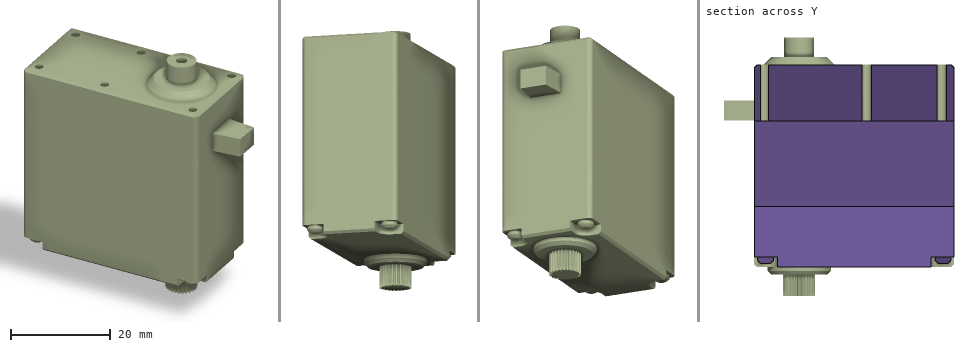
import cadquery as cq
import math

TOTAL_HEIGHT = 51.8

LENGTH = 40.0
WIDTH = 20.0
BOTTOM_HEIGHT = 12.2
MIDDLE_HEIGHT = 17.15
TOP_HEIGHT = 11.15
MIDDLE_Z = BOTTOM_HEIGHT
TOP_Z = MIDDLE_Z + MIDDLE_HEIGHT
STACK_HEIGHT = TOP_Z + TOP_HEIGHT
CORNER_RADIUS = 1.0
EDGE_CHAMFER = 0.5

AXIS_INSET = 9.0
AXIS_X = LENGTH / 2 - AXIS_INSET

CONE_BASE_DIAMETER = 14.2
CONE_HEIGHT = 1.5
CONE_TOP_DIAMETER = CONE_BASE_DIAMETER - 2 * CONE_HEIGHT
HUB_DIAMETER = 6.0
HUB_HEIGHT = 4.0
HUB_HOLE_DIAMETER = 2.3

MOUNT_HOLE_DIAMETER = 1.8
MOUNT_INSET = 2.5
MOUNT_SPACING_X = 15.0
END_MOUNT_INSET = 2.0

CABLE_LENGTH = 6.0
CABLE_HEIGHT = 4.0
CABLE_ROOT_WIDTH = 6.85
CABLE_TIP_WIDTH = 5.6

RECESS_INSET = 2.25
RECESS_RADIUS = 2.4
RECESS_DEPTH = 2.0

BOSS_DIAMETER = 12.7
BOSS_HEIGHT = 1.5
BOSS_CHAMFER = 0.7

TOOTH_COUNT = 25
SPLINE_DIAMETER = 6.4
TOOTH_DEPTH = 0.45
TIP_SHARE = 0.18
ROOT_SHARE = 0.31
SPLINE_LENGTH = TOTAL_HEIGHT - STACK_HEIGHT - CONE_HEIGHT - HUB_HEIGHT - BOSS_HEIGHT

SEAT_DIAMETER = 3.0
RIM_DIAMETER = 3.3
CROWN_BASE_DIAMETER = 3.2
CROWN_SHOULDER_DIAMETER = 2.5
HEAD_FACE_DIAMETER = 1.8
RIM_TOP_DEPTH = 0.3
RIM_BOTTOM_DEPTH = 0.6
CROWN_BASE_DEPTH = 0.8
CROWN_SHOULDER_DEPTH = 1.15
HEAD_HEIGHT = 1.35

CORNERS = [(side_x, side_y) for side_x in (-1, 1) for side_y in (-1, 1)]


def case_block(base_z, height, chamfered_face=None):
    """Slice of the stack: rounded vertical edges trim the mitred chamfer of one end face."""
    plain = cq.Workplane("XY").box(LENGTH, WIDTH, height, centered=(True, True, False))
    block = plain.edges("|Z").fillet(CORNER_RADIUS)
    if chamfered_face:
        block = block.intersect(plain.faces(chamfered_face).chamfer(EDGE_CHAMFER))
    return block.translate((0, 0, base_z))


def corner_recess(side_x, side_y):
    """Cutter for one lower corner: open to both outer walls, round around the screw."""
    screw_x = LENGTH / 2 - RECESS_INSET
    screw_y = WIDTH / 2 - RECESS_INSET
    outer_x = LENGTH / 2 + RECESS_INSET
    outer_y = WIDTH / 2 + RECESS_INSET
    inner_x = screw_x - RECESS_RADIUS
    inner_y = screw_y - RECESS_RADIUS
    diagonal = RECESS_RADIUS * math.sqrt(0.5)
    return (
        cq.Workplane("XY")
        .moveTo(side_x * outer_x, side_y * outer_y)
        .lineTo(side_x * inner_x, side_y * outer_y)
        .lineTo(side_x * inner_x, side_y * screw_y)
        .threePointArc(
            (side_x * (screw_x - diagonal), side_y * (screw_y - diagonal)),
            (side_x * screw_x, side_y * inner_y),
        )
        .lineTo(side_x * outer_x, side_y * inner_y)
        .close()
        .extrude(RECESS_DEPTH)
    )


def make_bottom_case():
    case = case_block(0, BOTTOM_HEIGHT, "<Z")
    for side_x, side_y in CORNERS:
        case = case.cut(corner_recess(side_x, side_y))
    boss = cq.Workplane("XY").circle(BOSS_DIAMETER / 2).extrude(-BOSS_HEIGHT)
    boss = boss.faces("<Z").chamfer(BOSS_CHAMFER)
    return case.union(boss.translate((AXIS_X, 0, 0)))


def make_middle_case():
    return case_block(MIDDLE_Z, MIDDLE_HEIGHT)


def make_hub():
    """Cone and round hub above the top case."""
    cone = (
        cq.Workplane("XY")
        .circle(CONE_BASE_DIAMETER / 2)
        .workplane(offset=CONE_HEIGHT)
        .circle(CONE_TOP_DIAMETER / 2)
        .loft()
    )
    hub = cone.faces(">Z").workplane().circle(HUB_DIAMETER / 2).extrude(HUB_HEIGHT)
    return hub.translate((AXIS_X, 0, STACK_HEIGHT))


def make_cable_relief():
    """Tapered block level with the bottom of the top case."""
    wall_x = LENGTH / 2
    tip_x = wall_x + CABLE_LENGTH
    return (
        cq.Workplane("XY", origin=(0, 0, TOP_Z))
        .polyline([
            (wall_x, -CABLE_ROOT_WIDTH / 2),
            (tip_x, -CABLE_TIP_WIDTH / 2),
            (tip_x, CABLE_TIP_WIDTH / 2),
            (wall_x, CABLE_ROOT_WIDTH / 2),
        ])
        .close()
        .extrude(CABLE_HEIGHT)
    )


def mount_hole_points():
    first_x = -LENGTH / 2 + MOUNT_INSET
    row_y = WIDTH / 2 - MOUNT_INSET
    end_x = LENGTH / 2 - END_MOUNT_INSET
    end_y = WIDTH / 2 - END_MOUNT_INSET
    pairs = [(first_x, row_y), (first_x + MOUNT_SPACING_X, row_y), (end_x, end_y)]
    return [(x, side * y) for x, y in pairs for side in (-1, 1)]


def make_top_case():
    case = case_block(TOP_Z, TOP_HEIGHT, ">Z")
    case = case.union(make_hub()).union(make_cable_relief())
    mount_holes = (
        cq.Workplane("XY", origin=(0, 0, TOP_Z))
        .pushPoints(mount_hole_points())
        .circle(MOUNT_HOLE_DIAMETER / 2)
        .extrude(TOP_HEIGHT)
    )
    hub_hole = (
        cq.Workplane("XY", origin=(AXIS_X, 0, STACK_HEIGHT + CONE_HEIGHT))
        .circle(HUB_HOLE_DIAMETER / 2)
        .extrude(HUB_HEIGHT)
    )
    return case.cut(mount_holes).cut(hub_hole)


def polar_point(radius, angle):
    return (radius * math.cos(angle), radius * math.sin(angle))


def make_spline_shaft():
    """Shaft with straight-flanked teeth, standing on the face of the lower boss."""
    tip_radius = SPLINE_DIAMETER / 2
    root_radius = tip_radius - TOOTH_DEPTH
    pitch = 2 * math.pi / TOOTH_COUNT
    tip_half = TIP_SHARE * pitch / 2
    root_half = ROOT_SHARE * pitch / 2
    outline = []
    for tooth in range(TOOTH_COUNT):
        tip_angle = tooth * pitch
        root_angle = tip_angle + pitch / 2
        outline.append(polar_point(tip_radius, tip_angle - tip_half))
        outline.append(polar_point(tip_radius, tip_angle + tip_half))
        outline.append(polar_point(root_radius, root_angle - root_half))
        outline.append(polar_point(root_radius, root_angle + root_half))
    return (
        cq.Workplane("XY", origin=(AXIS_X, 0, -BOSS_HEIGHT))
        .polyline(outline)
        .close()
        .extrude(-SPLINE_LENGTH)
    )


def make_screw(side_x, side_y):
    """Domed screw head seated on the recess floor, pointing down."""
    profile = [
        (0, 0),
        (SEAT_DIAMETER / 2, 0),
        (RIM_DIAMETER / 2, -RIM_TOP_DEPTH),
        (RIM_DIAMETER / 2, -RIM_BOTTOM_DEPTH),
        (CROWN_BASE_DIAMETER / 2, -CROWN_BASE_DEPTH),
        (CROWN_SHOULDER_DIAMETER / 2, -CROWN_SHOULDER_DEPTH),
        (HEAD_FACE_DIAMETER / 2, -HEAD_HEIGHT),
        (0, -HEAD_HEIGHT),
    ]
    head = cq.Workplane("XZ").polyline(profile).close().revolve(360, (0, 0, 0), (0, 1, 0))
    screw_x = side_x * (LENGTH / 2 - RECESS_INSET)
    screw_y = side_y * (WIDTH / 2 - RECESS_INSET)
    return head.translate((screw_x, screw_y, RECESS_DEPTH))


bottom_case = make_bottom_case()
middle_case = make_middle_case()
top_case = make_top_case()
spline_shaft = make_spline_shaft()
screws = [make_screw(side_x, side_y) for side_x, side_y in CORNERS]

result = cq.Compound.makeCompound([
    bottom_case.val(),
    middle_case.val(),
    top_case.val(),
    spline_shaft.val(),
    *[screw.val() for screw in screws],
])